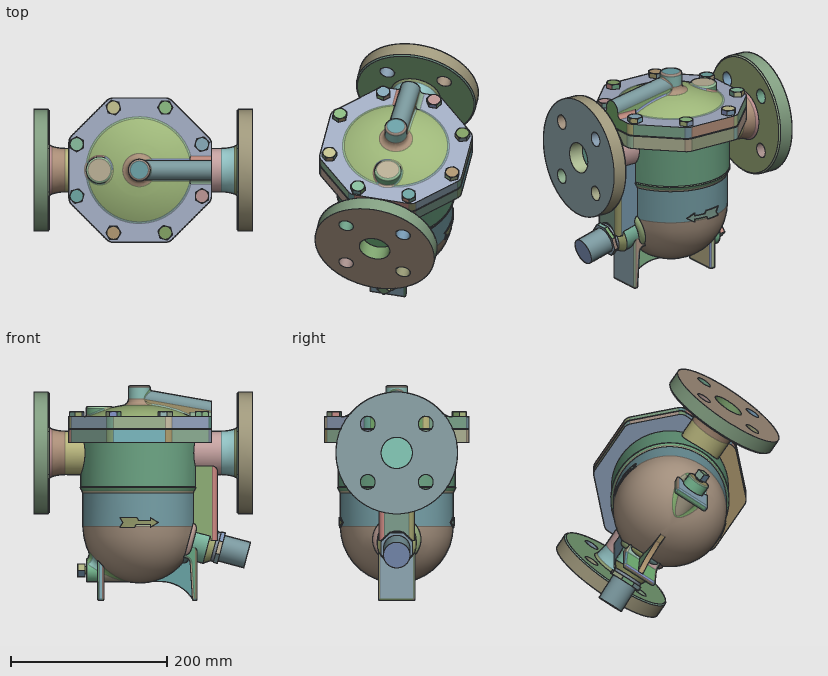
import cadquery as cq
import math


INLET_FACE_X = -135.0
OUTLET_FACE_X = 145.0
FLANGE_RADIUS = 78.0
FLANGE_THICKNESS = 20.0
FLANGE_EDGE_ROUND = 1.8
FLANGE_HOLE_DIAMETER = 19.0
FLANGE_HOLE_CIRCLE_RADIUS = 52.5
BORE_DIAMETER = 40.0
PIPE_RADIUS = 28.0
NECK_RADIUS = 30.5
NECK_ROOT_RADIUS = 32.5
NECK_ROOT_LENGTH = 3.5
NECK_LENGTH = 20.0

PLATE_TOP_Z = 46.3
PLATE_BOTTOM_Z = 13.2
JOINT_Z = 30.7
JOINT_GAP = 1.0
JOINT_INSET = 0.4
OCTAGON_HALF_WIDTH = 92.5
OCTAGON_INLET_X = -90.3
OCTAGON_CORNER_RADIUS = 12.0
BOLT_COUNT = 8
BOLT_CIRCLE_RADIUS = 86.7
BOLT_SIDES = 6
BOLT_ACROSS_FLATS = 16.8
BOLT_HEAD_HEIGHT = 6.6
BOLT_HEAD_CHAMFER_ANGLE = 30.0

DOME_RADIUS = 67.2
DOME_APEX_Z = 62.2
DOME_MID_RADIUS = 35.0
DOME_MID_Z = 58.2
DOME_ROOT_FILLET = 5.0
VENT_RADIUS = 14.0
VENT_TOP_Z = 86.0
VENT_ROOT_FILLET = 8.5
BOSS_TOP_ROUND = 2.5
DUCT_RADIUS = 12.5
DUCT_SLOPE = 10.0
DUCT_END_AXIS_Z = 53.4
DUCT_FILLET = 2.0
DUCT_SKIRT_RADIUS = 5.6
PORT_X = -51.0
PORT_RADIUS = 17.0
PORT_TOP_Z = 59.4
PORT_ROOT_FILLET = 2.3

BODY_RADIUS = 75.0
LIP_RADIUS = 75.8
BOWL_RADIUS = 72.5
STEP_TOP_Z = -43.0
LIP_Z = -44.5
STEP_CONE_Z = -49.0
STEP_CONE_RADIUS = 73.5
STEP_BOTTOM_Z = -51.3
BOWL_CENTRE_Z = -94.0

ARROW_RADIUS = 73.7
ARROW_CENTRE_Z = -89.0
ARROW_TAIL_X = -25.0
ARROW_NOTCH_X = -21.0
ARROW_SHAFT_X = -3.0
ARROW_SHAFT_SLANT = 2.0
ARROW_HEAD_X = 14.0
ARROW_TIP_X = 24.4
ARROW_HALF_HEIGHT = 6.2
ARROW_SHAFT_HALF_HEIGHT = 2.4

OUTLET_TILT = 15.0
OUTLET_END_X = 138.0
OUTLET_END_Z = -130.7
OUTLET_PIPE_RADIUS = 17.0
OUTLET_NUT_BACK = 39.5
OUTLET_NUT_FRONT = 34.2
OUTLET_NUT_SIDES = 8
OUTLET_NUT_ACROSS_FLATS = 40.6
OUTLET_COLLAR_RADIUS = 19.3
OUTLET_CONE_FRONT = 43.5
OUTLET_CONE_BACK = 52.0
OUTLET_BOSS_RADIUS = 25.0
OUTLET_BOSS_BACK = 100.0
OUTLET_FLARE_START = 71.0
OUTLET_FLARE_ROUND = 6.0

HOUSING_OUTER_X = 100.0
HOUSING_HALF_WIDTH = 22.4
HOUSING_TOP_Z = 0.0
HOUSING_BOTTOM_Z = -112.0
HOUSING_ROUND = 6.5

FOOT_BOTTOM_Z = -189.0
FOOT_HALF_WIDTH = 23.5
FOOT_ROUND = 2.2
INLET_FOOT_X = -49.3
INLET_FOOT_THICKNESS = 8.3
OUTLET_FOOT_OUTER_X = 74.0
OUTLET_FOOT_TOE_X = 68.0
OUTLET_FOOT_TOP_Z = -117.0
OUTLET_FOOT_KNEE_X = 65.0
OUTLET_FOOT_KNEE_Z = -141.0
OUTLET_FOOT_KNEE_RADIUS = 7.0
WEB_THICKNESS = 7.0
WEB_START_X = 15.0
WEB_CURVE_X = 27.0
WEB_Z = -164.6
WEB_END_Z = -187.0

DRAIN_Z = -150.2
DRAIN_FACE_X = -67.7
DRAIN_RADIUS = 14.8
DRAIN_FILLET = 9.0
DRAIN_EDGE_ROUND = 1.5
PLUG_NECK_RADIUS = 5.0
PLUG_NECK_LENGTH = 1.5
PLUG_HEAD_DIAGONAL = 16.6
PLUG_HEAD_LENGTH = 9.8

PICK_MARGIN = 0.2


def edges_within(solid, low, high):
    """Edges lying wholly inside the box between two corner points."""
    return solid.edges(cq.selectors.BoxSelector(low, high, boundingbox=True))


def revolve_about_z(outline):
    return outline.close().revolve(360, (0, 0, 0), (0, 1, 0))


def make_body():
    outline = (
        cq.Workplane("XZ")
        .moveTo(0, PLATE_BOTTOM_Z)
        .lineTo(BODY_RADIUS, PLATE_BOTTOM_Z)
        .lineTo(BODY_RADIUS, STEP_TOP_Z)
        .lineTo(LIP_RADIUS, LIP_Z)
        .lineTo(STEP_CONE_RADIUS, STEP_CONE_Z)
        .lineTo(BOWL_RADIUS, STEP_BOTTOM_Z)
        .lineTo(BOWL_RADIUS, BOWL_CENTRE_Z)
        .radiusArc((0, BOWL_CENTRE_Z - BOWL_RADIUS), BOWL_RADIUS)
    )
    return revolve_about_z(outline)


def make_octagon(bottom_z, top_z, inset=0.0):
    """Regular octagon with rounded corners, cut back on the inlet side."""
    half = OCTAGON_HALF_WIDTH - inset
    inlet_x = OCTAGON_INLET_X + inset
    edge = half * math.tan(math.pi / 8)
    inlet_edge = half * math.sqrt(2) + inlet_x
    points = [
        (half, edge),
        (edge, half),
        (-edge, half),
        (inlet_x, inlet_edge),
        (inlet_x, -inlet_edge),
        (-edge, -half),
        (edge, -half),
        (half, -edge),
    ]
    plate = cq.Workplane("XY", origin=(0, 0, bottom_z)).polyline(points).close().extrude(top_z - bottom_z)
    return plate.edges("|Z").fillet(OCTAGON_CORNER_RADIUS)


def make_lower_joint():
    gasket = make_octagon(JOINT_Z - JOINT_GAP / 2, JOINT_Z + JOINT_GAP / 2, JOINT_INSET)
    body_plate = make_octagon(PLATE_BOTTOM_Z, JOINT_Z - JOINT_GAP / 2)
    return body_plate.union(gasket)


def make_bolt_head():
    """Hexagon head with its top corners turned off at a shallow angle."""
    corner_radius = BOLT_ACROSS_FLATS / 2 / math.cos(math.pi / BOLT_SIDES)
    flat_radius = BOLT_ACROSS_FLATS / 2
    drop = (corner_radius - flat_radius) * math.tan(math.radians(BOLT_HEAD_CHAMFER_ANGLE))
    hexagon = cq.Workplane("XY").polygon(BOLT_SIDES, 2 * corner_radius).extrude(BOLT_HEAD_HEIGHT)
    turned = revolve_about_z(
        cq.Workplane("XZ")
        .lineTo(corner_radius, 0)
        .lineTo(corner_radius, BOLT_HEAD_HEIGHT - drop)
        .lineTo(flat_radius, BOLT_HEAD_HEIGHT)
        .lineTo(0, BOLT_HEAD_HEIGHT)
    )
    return hexagon.intersect(turned)


def make_bolts():
    """Heads turn with their position, so every head sits alike on its radius."""
    half_pitch = 180.0 / BOLT_COUNT
    first = make_bolt_head().rotate((0, 0, 0), (0, 0, 1), -half_pitch - 360.0 / BOLT_COUNT)
    first = first.translate((BOLT_CIRCLE_RADIUS, 0, PLATE_TOP_Z))
    bolts = cq.Workplane("XY")
    for index in range(BOLT_COUNT):
        angle = half_pitch + 360.0 * index / BOLT_COUNT
        bolts = bolts.add(first.rotate((0, 0, 0), (0, 0, 1), angle))
    return bolts


def make_dome():
    outline = (
        cq.Workplane("XZ")
        .moveTo(0, JOINT_Z)
        .lineTo(DOME_RADIUS, JOINT_Z)
        .lineTo(DOME_RADIUS, PLATE_TOP_Z)
        .threePointArc((DOME_MID_RADIUS, DOME_MID_Z), (0, DOME_APEX_Z))
    )
    return revolve_about_z(outline)


def make_top_boss(x, radius, top_z):
    boss = cq.Workplane("XY", origin=(x, 0, JOINT_Z)).circle(radius).extrude(top_z - JOINT_Z)
    return boss.faces(">Z").edges().fillet(BOSS_TOP_ROUND)


def make_duct():
    """Half-round roof sloping down from the vent to the plate edge, on straight side walls."""
    slope = math.tan(math.radians(DUCT_SLOPE))
    end_x = OCTAGON_HALF_WIDTH
    start_axis_z = DUCT_END_AXIS_Z + end_x * slope
    roof_axis = cq.Plane(
        origin=(0, 0, start_axis_z),
        xDir=(0, 1, 0),
        normal=(math.cos(math.radians(DUCT_SLOPE)), 0, -math.sin(math.radians(DUCT_SLOPE))),
    )
    roof = cq.Workplane(roof_axis).circle(DUCT_RADIUS).extrude(2 * end_x)
    base_z = JOINT_Z + JOINT_GAP
    walls = (
        cq.Workplane("XZ")
        .moveTo(0, base_z)
        .lineTo(end_x, base_z)
        .lineTo(end_x, DUCT_END_AXIS_Z)
        .lineTo(0, start_axis_z)
        .close()
        .extrude(DUCT_RADIUS, both=True)
    )
    envelope = cq.Workplane("XY", origin=(0, 0, base_z)).box(
        end_x, 4 * DUCT_RADIUS, VENT_TOP_Z - base_z, centered=(False, True, False)
    )
    return roof.union(walls).intersect(envelope)


def make_duct_skirts():
    """Concave skirts along both duct walls where they stand on the flat plate."""
    radius = DUCT_SKIRT_RADIUS
    foot_y = DUCT_RADIUS + radius
    start_x = math.sqrt(DOME_RADIUS**2 - foot_y**2)
    skirt = (
        cq.Workplane("YZ", origin=(start_x, 0, PLATE_TOP_Z))
        .moveTo(0, 0)
        .lineTo(foot_y, 0)
        .radiusArc((DUCT_RADIUS, radius), radius)
        .lineTo(0, radius)
        .close()
        .extrude(OCTAGON_HALF_WIDTH - start_x)
    )
    return skirt.union(skirt.mirror("XZ"))


def make_cover():
    """Cover plate carrying the dome, the vent, the side port and the vent duct."""
    below_top = PLATE_TOP_Z - PICK_MARGIN
    cover = make_octagon(JOINT_Z + JOINT_GAP / 2, PLATE_TOP_Z).union(make_dome())
    reach = DOME_RADIUS + PICK_MARGIN
    dome_root = edges_within(cover, (-reach, -reach, below_top), (reach, reach, PLATE_TOP_Z + PICK_MARGIN))
    cover = dome_root.fillet(DOME_ROOT_FILLET)

    cover = cover.union(make_top_boss(0, VENT_RADIUS, VENT_TOP_Z))
    reach = VENT_RADIUS + PICK_MARGIN
    vent_root = edges_within(cover, (-reach, -reach, DOME_MID_Z), (reach, reach, DOME_APEX_Z))
    cover = vent_root.fillet(VENT_ROOT_FILLET)

    cover = cover.union(make_duct())
    wall = DUCT_RADIUS + PICK_MARGIN
    roof_top = VENT_TOP_Z - 2 * BOSS_TOP_ROUND
    duct_mouth = edges_within(cover, (0, -wall, DOME_APEX_Z + VENT_ROOT_FILLET / 2), (reach, wall, roof_top))
    cover = duct_mouth.fillet(DUCT_FILLET).union(make_duct_skirts())

    cover = cover.union(make_top_boss(PORT_X, PORT_RADIUS, PORT_TOP_Z))
    reach = PORT_RADIUS + PICK_MARGIN
    port_root = edges_within(
        cover, (PORT_X - reach, -reach, below_top), (PORT_X + reach, reach, PORT_TOP_Z - BOSS_TOP_ROUND / 2)
    )
    return port_root.fillet(PORT_ROOT_FILLET)


def make_flange(face_x, inward):
    """Flange with welding neck; inward is the X direction from its face to the body."""
    root = FLANGE_THICKNESS + NECK_ROOT_LENGTH
    neck_end = FLANGE_THICKNESS + NECK_LENGTH
    body_reach = abs(face_x)

    def at(distance, radius):
        return (face_x + inward * distance, radius)

    neck_mid_radius = (PIPE_RADIUS * 3 + NECK_RADIUS) / 4
    outline = (
        cq.Workplane("XZ")
        .moveTo(*at(0, 0))
        .lineTo(*at(0, FLANGE_RADIUS))
        .lineTo(*at(FLANGE_THICKNESS - FLANGE_EDGE_ROUND, FLANGE_RADIUS))
        .lineTo(*at(FLANGE_THICKNESS, FLANGE_RADIUS - FLANGE_EDGE_ROUND))
        .lineTo(*at(FLANGE_THICKNESS, NECK_ROOT_RADIUS))
        .lineTo(*at(root, NECK_RADIUS))
        .threePointArc(at((root + neck_end) / 2, neck_mid_radius), at(neck_end, PIPE_RADIUS))
        .lineTo(*at(body_reach, PIPE_RADIUS))
        .lineTo(*at(body_reach, 0))
        .close()
    )
    flange = outline.revolve(360, (0, 0, 0), (1, 0, 0))
    face = cq.Workplane("YZ", origin=(face_x, 0, 0))
    hole_spacing = FLANGE_HOLE_CIRCLE_RADIUS * math.sqrt(2)
    holes = (
        face.rect(hole_spacing, hole_spacing, forConstruction=True)
        .vertices()
        .circle(FLANGE_HOLE_DIAMETER / 2)
        .extrude(inward * FLANGE_THICKNESS)
    )
    bore = face.circle(BORE_DIAMETER / 2).extrude(inward * FLANGE_THICKNESS)
    return flange.cut(holes).cut(bore)


def make_flow_arrows():
    """Arrow pointing to the outlet, raised on both flanks of the body."""
    top = ARROW_HALF_HEIGHT
    shaft = ARROW_SHAFT_HALF_HEIGHT
    outline = [
        (ARROW_TAIL_X, top),
        (ARROW_SHAFT_X, top),
        (ARROW_SHAFT_X + ARROW_SHAFT_SLANT, shaft),
        (ARROW_HEAD_X, shaft),
        (ARROW_HEAD_X, top),
        (ARROW_TIP_X, 0),
        (ARROW_HEAD_X, -top),
        (ARROW_HEAD_X, -shaft),
        (ARROW_SHAFT_X - ARROW_SHAFT_SLANT / 2, -shaft),
        (ARROW_SHAFT_X - 3 * ARROW_SHAFT_SLANT / 2, -top),
        (ARROW_TAIL_X, -top),
        (ARROW_NOTCH_X, 0),
    ]
    arrow = (
        cq.Workplane("XZ", origin=(0, 0, ARROW_CENTRE_Z))
        .polyline(outline)
        .close()
        .extrude(2 * BODY_RADIUS, both=True)
    )
    rim = (
        cq.Workplane("XY", origin=(0, 0, ARROW_CENTRE_Z - 2 * top))
        .circle(ARROW_RADIUS)
        .circle(2 * BOWL_RADIUS - ARROW_RADIUS)
        .extrude(4 * top)
    )
    return arrow.intersect(rim)


def outlet_plane(distance):
    """Plane square to the outlet axis, at a distance back from the pipe end."""
    tilt = math.radians(OUTLET_TILT)
    return cq.Plane(
        origin=(OUTLET_END_X - distance * math.cos(tilt), 0, OUTLET_END_Z + distance * math.sin(tilt)),
        xDir=(0, 1, 0),
        normal=(math.cos(tilt), 0, -math.sin(tilt)),
    )


def make_outlet_boss():
    """Boss aimed at the bowl centre, flaring in a quarter round where it meets the bowl."""
    flare_end = OUTLET_FLARE_START + OUTLET_FLARE_ROUND
    flare_radius = OUTLET_BOSS_RADIUS + OUTLET_FLARE_ROUND
    boss = (
        cq.Workplane("XY")
        .moveTo(-OUTLET_CONE_BACK, 0)
        .lineTo(-OUTLET_CONE_BACK, OUTLET_BOSS_RADIUS)
        .lineTo(-OUTLET_FLARE_START, OUTLET_BOSS_RADIUS)
        .radiusArc((-flare_end, flare_radius), -OUTLET_FLARE_ROUND)
        .lineTo(-OUTLET_BOSS_BACK, flare_radius)
        .lineTo(-OUTLET_BOSS_BACK, 0)
        .close()
        .revolve(360, (0, 0, 0), (1, 0, 0))
    )
    return boss.rotate((0, 0, 0), (0, 1, 0), OUTLET_TILT).translate((OUTLET_END_X, 0, OUTLET_END_Z))


def make_outlet_pipe():
    cone = (
        cq.Workplane(outlet_plane(OUTLET_CONE_BACK))
        .circle(OUTLET_BOSS_RADIUS)
        .workplane(offset=OUTLET_CONE_BACK - OUTLET_CONE_FRONT)
        .circle(OUTLET_COLLAR_RADIUS)
        .loft()
    )
    collar = (
        cq.Workplane(outlet_plane(OUTLET_CONE_FRONT))
        .circle(OUTLET_COLLAR_RADIUS)
        .extrude(OUTLET_CONE_FRONT - OUTLET_NUT_BACK)
    )
    nut = (
        cq.Workplane(outlet_plane(OUTLET_NUT_BACK))
        .polygon(OUTLET_NUT_SIDES, OUTLET_NUT_ACROSS_FLATS, circumscribed=True)
        .extrude(OUTLET_NUT_BACK - OUTLET_NUT_FRONT)
    )
    pipe = cq.Workplane(outlet_plane(OUTLET_NUT_BACK)).circle(OUTLET_PIPE_RADIUS).extrude(OUTLET_NUT_BACK)
    return cone.union(collar).union(nut).union(pipe)


def make_housing():
    """Upright housing, round-nosed in plan, running up into the outlet pipe."""
    width = 2 * HOUSING_HALF_WIDTH
    height = HOUSING_TOP_Z - HOUSING_BOTTOM_Z
    block = cq.Workplane("XY").box(HOUSING_OUTER_X, width, height, centered=(False, True, False))
    return block.edges(">X and |Z").fillet(HOUSING_ROUND).translate((0, 0, HOUSING_BOTTOM_Z))


def make_inlet_foot():
    foot = (
        cq.Workplane("XY", origin=(INLET_FOOT_X, 0, FOOT_BOTTOM_Z))
        .rect(INLET_FOOT_THICKNESS, 2 * FOOT_HALF_WIDTH)
        .extrude(DRAIN_Z + DRAIN_RADIUS - FOOT_BOTTOM_Z)
    )
    return foot.edges("|Z").fillet(FOOT_ROUND).faces("<Z").edges().fillet(FOOT_ROUND)


def make_outlet_foot():
    knee = OUTLET_FOOT_KNEE_RADIUS
    shoulder_z = OUTLET_FOOT_KNEE_Z + knee
    foot = (
        cq.Workplane("XZ")
        .moveTo(OUTLET_FOOT_OUTER_X, FOOT_BOTTOM_Z)
        .lineTo(OUTLET_FOOT_TOE_X, FOOT_BOTTOM_Z)
        .lineTo(OUTLET_FOOT_KNEE_X, OUTLET_FOOT_KNEE_Z)
        .radiusArc((OUTLET_FOOT_KNEE_X - knee, shoulder_z), -knee)
        .lineTo(OUTLET_FOOT_OUTER_X / 2, shoulder_z)
        .lineTo(OUTLET_FOOT_OUTER_X, OUTLET_FOOT_TOP_Z)
        .close()
        .extrude(FOOT_HALF_WIDTH, both=True)
    )
    foot = foot.edges(">X and |Z").fillet(FOOT_ROUND)
    side = FOOT_HALF_WIDTH + PICK_MARGIN
    flank_edges = edges_within(
        foot,
        (OUTLET_FOOT_KNEE_X - knee - PICK_MARGIN, -side, FOOT_BOTTOM_Z - PICK_MARGIN),
        (OUTLET_FOOT_TOE_X + PICK_MARGIN, side, shoulder_z + PICK_MARGIN),
    )
    foot = flank_edges.edges("not |Y").fillet(FOOT_ROUND)
    return foot.faces("<Z").edges().fillet(FOOT_ROUND)


def make_web():
    """Stiffening web from the outlet foot to the underside of the bowl."""
    web = (
        cq.Workplane("XZ")
        .moveTo(WEB_START_X, WEB_Z)
        .lineTo(WEB_CURVE_X, WEB_Z)
        .tangentArcPoint((OUTLET_FOOT_TOE_X, WEB_END_Z), relative=False)
        .lineTo(OUTLET_FOOT_OUTER_X - FOOT_ROUND, WEB_END_Z)
        .lineTo(OUTLET_FOOT_KNEE_X, BOWL_CENTRE_Z)
        .lineTo(WEB_START_X, BOWL_CENTRE_Z)
        .close()
    )
    return web.extrude(WEB_THICKNESS / 2, both=True)


def make_drain_boss():
    boss = cq.Workplane("YZ", origin=(DRAIN_FACE_X, 0, DRAIN_Z)).circle(DRAIN_RADIUS).extrude(-DRAIN_FACE_X)
    return boss.faces("<X").edges().fillet(DRAIN_EDGE_ROUND)


def make_plug():
    face = cq.Workplane("YZ", origin=(DRAIN_FACE_X, 0, DRAIN_Z))
    neck = face.circle(PLUG_NECK_RADIUS).extrude(-PLUG_NECK_LENGTH)
    head = face.workplane(offset=-PLUG_NECK_LENGTH).polygon(4, PLUG_HEAD_DIAGONAL).extrude(-PLUG_HEAD_LENGTH)
    return neck.union(head)


def make_bowl_with_bosses():
    """Body with the outlet boss and the drain boss, the latter blended into the bowl."""
    body = make_body().union(make_outlet_boss()).union(make_drain_boss())
    reach = DRAIN_RADIUS + PICK_MARGIN
    drain_root = edges_within(
        body,
        (DRAIN_FACE_X + DRAIN_EDGE_ROUND + PICK_MARGIN, -reach, DRAIN_Z - reach),
        (0, reach, DRAIN_Z + reach),
    )
    return drain_root.fillet(DRAIN_FILLET)


result = make_bowl_with_bosses()
for piece in (
    make_lower_joint(),
    make_cover(),
    make_bolts(),
    make_flange(INLET_FACE_X, 1),
    make_flange(OUTLET_FACE_X, -1),
    make_flow_arrows(),
    make_housing(),
    make_outlet_pipe(),
    make_inlet_foot(),
    make_outlet_foot(),
    make_web(),
    make_plug(),
):
    result = result.union(piece)